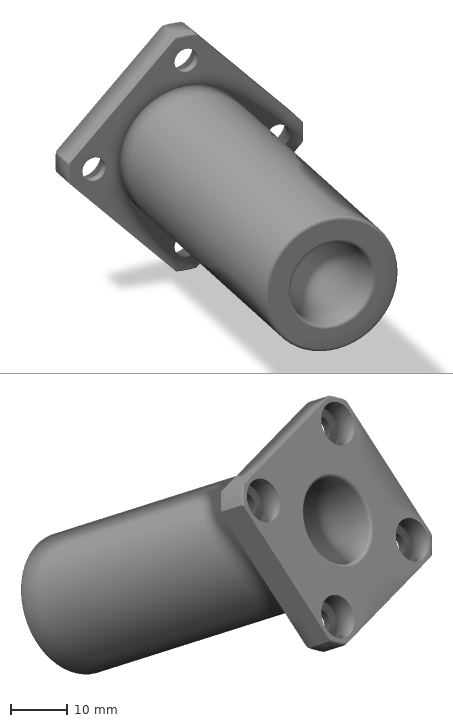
import math

import cadquery as cq

total_length = 70.0
sleeve_diameter = 26.0
bore_diameter = 16.0

flange_thickness = 6.0
flange_side = 35.0
flange_tilt = 45.0
flange_turned_diameter = 46.0

bolt_circle_diameter = 36.0
bolt_count = 4
bolt_hole_diameter = 4.5
counterbore_diameter = 8.0
counterbore_depth = 4.4

flange_corner_round = 0.4
sleeve_end_round = 0.6
bore_mouth_round = 0.6


def cylinder_along_x(diameter, length):
    """Cylinder centred on the X axis, starting at X = 0."""
    return cq.Workplane("YZ").circle(diameter / 2).extrude(length)


def make_flange():
    """Tilted square plate whose corners are trimmed by a round-edged disc."""
    square = cq.Workplane("YZ").rect(flange_side, flange_side).extrude(flange_thickness)
    square = square.rotate((0, 0, 0), (1, 0, 0), flange_tilt)
    disc = cylinder_along_x(flange_turned_diameter, flange_thickness)
    disc = disc.faces("<X or >X").edges().fillet(flange_corner_round)
    return square.intersect(disc)


def make_sleeve():
    """Solid sleeve body with a rounded rim at its free end."""
    sleeve = cylinder_along_x(sleeve_diameter, total_length)
    return sleeve.faces(">X").edges().fillet(sleeve_end_round)


def make_bore():
    """Solid of the through bore, flared at both mouths by a quarter-circle round."""
    bore_radius = bore_diameter / 2
    mouth_radius = bore_radius + bore_mouth_round
    arc_middle = bore_mouth_round * (1 - math.cos(math.pi / 4))
    profile = (
        cq.Workplane("XY")
        .lineTo(0, mouth_radius)
        .threePointArc((arc_middle, bore_radius + arc_middle), (bore_mouth_round, bore_radius))
        .lineTo(total_length - bore_mouth_round, bore_radius)
        .threePointArc(
            (total_length - arc_middle, bore_radius + arc_middle),
            (total_length, mouth_radius),
        )
        .lineTo(total_length, 0)
        .close()
    )
    return profile.revolve(360, (0, 0, 0), (1, 0, 0))


def bolt_pattern(diameter, depth):
    """Cylinders on the bolt circle, running from the flange face into the flange."""
    return (
        cq.Workplane("YZ")
        .polarArray(bolt_circle_diameter / 2, 0, 360, bolt_count)
        .circle(diameter / 2)
        .extrude(depth)
    )


result = (
    make_flange()
    .union(make_sleeve())
    .cut(make_bore())
    .cut(bolt_pattern(bolt_hole_diameter, flange_thickness))
    .cut(bolt_pattern(counterbore_diameter, counterbore_depth))
)